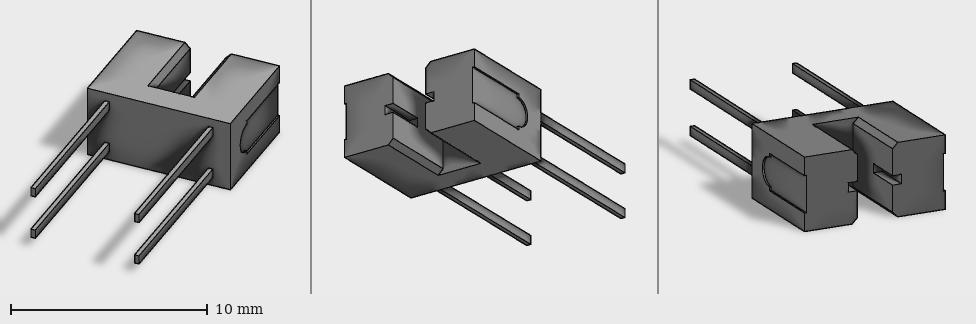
import cadquery as cq


body_width = 8.0
body_length = 6.0
body_height = 4.0

slot_width = 2.0
slot_depth = 4.5
slot_chamfer = 0.3

recess_depth = 0.1
recess_width = 2.0
recess_length = 4.0
recess_round_radius = 0.8

aperture_height = 0.5
aperture_length = 2.2
aperture_depth = 0.5

lead_width = 0.25
lead_thickness = 0.5
lead_length = 9.0
lead_pitch_x = 5.8
lead_pitch_z = 2.5


def make_body():
    return cq.Workplane("XY").box(body_width, body_length, body_height, centered=(True, False, True))


def make_slot():
    """Slot through the full height, widened by a chamfer at its top and bottom edges."""
    half_width = slot_width / 2
    half_mouth = half_width + slot_chamfer
    half_height = body_height / 2
    straight_half_height = half_height - slot_chamfer
    right_side = [
        (half_mouth, -half_height),
        (half_width, -straight_half_height),
        (half_width, straight_half_height),
        (half_mouth, half_height),
    ]
    left_side = [(-x, -z) for x, z in right_side]
    return (
        cq.Workplane("XZ", origin=(0, body_length, 0))
        .polyline(right_side + left_side)
        .close()
        .extrude(slot_depth)
    )


def make_recess():
    """Recess in the +X face: a band from the arm's end, closed by a smaller half round."""
    floor_x = body_width / 2 - recess_depth
    band_end_y = body_length - recess_length
    half_width = recess_width / 2
    return (
        cq.Workplane("YZ", origin=(floor_x, 0, 0))
        .moveTo(body_length, -half_width)
        .lineTo(body_length, half_width)
        .lineTo(band_end_y, half_width)
        .lineTo(band_end_y, recess_round_radius)
        .threePointArc((band_end_y - recess_round_radius, 0), (band_end_y, -recess_round_radius))
        .lineTo(band_end_y, -half_width)
        .close()
        .extrude(recess_depth)
    )


def make_aperture():
    """Slit in the +X wall of the slot, open at the arm's end."""
    return cq.Workplane("XY", origin=(slot_width / 2, body_length - aperture_length, 0)).box(
        aperture_depth, aperture_length, aperture_height, centered=(False, False, True)
    )


def make_leads():
    return (
        cq.Workplane("XZ")
        .rarray(lead_pitch_x, lead_pitch_z, 2, 2)
        .rect(lead_width, lead_thickness)
        .extrude(lead_length)
    )


result = make_body().cut(make_slot())
for arm_feature in (make_recess(), make_aperture()):
    result = result.cut(arm_feature).cut(arm_feature.mirror("YZ"))
result = result.union(make_leads())